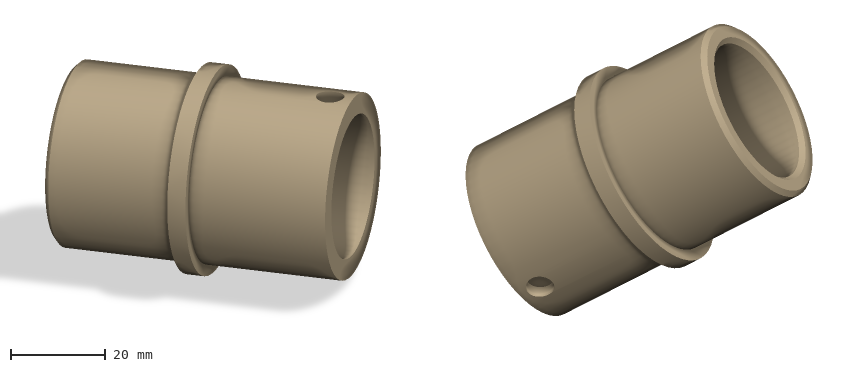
import cadquery as cq

length = 62.0
outer_diameter = 40.0
bore_diameter = 31.0
end_chamfer = 1.0

collar_diameter = 45.0
collar_width = 4.0
collar_start = 28.0

pin_hole_diameter = 6.0
pin_hole_end_distance = 5.0
pin_hole_depth = 3.0


def cylinder_along_x(diameter, start, width):
    """Solid cylinder centred on the X axis."""
    return cq.Workplane("YZ", origin=(start, 0, 0)).circle(diameter / 2).extrude(width)


def make_sleeve():
    """Tube with its outer and inner edges chamfered at the X = 0 end."""
    body = cylinder_along_x(outer_diameter, 0, length)
    tube = body.cut(cylinder_along_x(bore_diameter, 0, length))
    return tube.faces("<X").edges().chamfer(end_chamfer)


def make_collar():
    """Ring that overlaps the sleeve wall without entering the bore."""
    ring = cylinder_along_x(collar_diameter, collar_start, collar_width)
    return ring.cut(cylinder_along_x(bore_diameter, collar_start, collar_width))


def make_pin_hole(side):
    """Cutter for a blind radial hole; side is +1 for top and -1 for underneath."""
    floor_height = outer_diameter / 2 - pin_hole_depth
    position = (length - pin_hole_end_distance, 0, side * floor_height)
    hole = cq.Workplane("XY", origin=position).circle(pin_hole_diameter / 2)
    return hole.extrude(side * collar_diameter / 2)


result = make_sleeve().union(make_collar())
for side in (1, -1):
    result = result.cut(make_pin_hole(side))